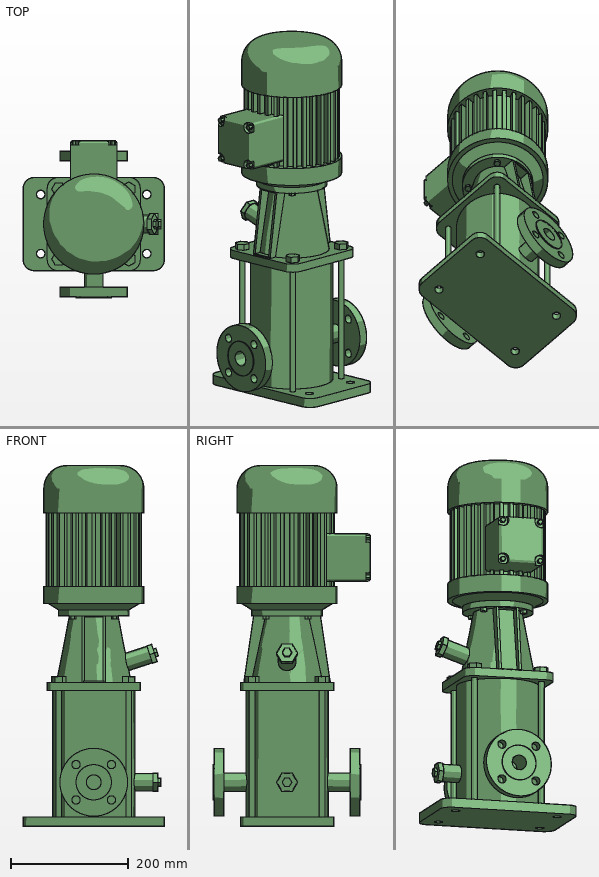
import cadquery as cq
import math

total_height = 612.0

base_length = 240.0
plate_width = 158.5
base_thickness = 16.0
plate_corner_radius = 19.0
anchor_spacing_x = 180.0
anchor_spacing_y = 100.5
anchor_hole_diameter = 14.0
casing_diameter = 140.0

upper_plate_bottom = 230.0
upper_plate_top = 244.0
upper_plate_length = 158.0
tie_rod_diameter = 10.0
tie_rod_offset = 59.5
tie_bolt_width = 21.0
tie_bolt_height = 10.0

port_height = 74.5
pipe_diameter = 32.0
bore_diameter = 25.0
flange_diameter = 115.0
flange_thickness = 16.5
raised_face_diameter = 60.0
raised_face_height = 2.0
flange_face_y = 123.5
flange_hole_diameter = 14.0
flange_hole_offset = 30.0

lantern_bottom_radius = 63.5
lantern_top_radius = 41.5
rib_thickness = 4.0
rib_offset = 18.0
rib_bottom_reach = 73.5
rib_top_reach = 57.0
rib_web_thickness = 2.0
motor_screw_offset = 35.5
motor_screw_width = 10.0
motor_screw_height = 5.5

motor_bottom = 357.0
spigot_top = 367.0
spigot_radius = 60.0
bell_radius = 85.0
bell_cone_radius = 77.0
bell_bottom = 377.5
bell_top = 407.0
cowl_bottom = 532.0
dome_radius = 39.0
motor_core_diameter = 140.0
fin_tip_radius = 81.0
fin_thickness = 6.0
fin_count = 30

box_width = 79.5
box_bottom = 415.5
box_top = 496.5
box_end_y = 141.5
box_edge_radius = 5.5
box_screw_inset = 7.0
box_screw_width = 7.5
box_pocket_radius = 10.0
box_pocket_depth = 7.5

plug_tube_diameter = 30.0
plug_hex_width = 31.0
plug_hex_length = 8.5
plug_tip_width = 14.0
plug_tip_length = 5.0
drain_tube_end = 100.5
vent_tilt = 18.0
vent_tube_end_x = 95.0
vent_tube_end_z = 291.5


def hex_corner_diameter(width_across_flats):
    return width_across_flats / math.cos(math.pi / 6)


def cylinder(diameter, bottom, top):
    return cq.Workplane("XY").workplane(offset=bottom).circle(diameter / 2).extrude(top - bottom)


def rounded_plate(length, bottom, top):
    plate = cq.Workplane("XY").workplane(offset=bottom).rect(length, plate_width).extrude(top - bottom)
    return plate.edges("|Z").fillet(plate_corner_radius)


def base():
    plate = rounded_plate(base_length, 0, base_thickness)
    holes = (
        cq.Workplane("XY")
        .rect(anchor_spacing_x, anchor_spacing_y, forConstruction=True)
        .vertices()
        .circle(anchor_hole_diameter / 2)
        .extrude(base_thickness)
    )
    return plate.cut(holes)


def upper_plate_with_tie_rods():
    plate = rounded_plate(upper_plate_length, upper_plate_bottom, upper_plate_top)
    for side_x in (-1, 1):
        for side_y in (-1, 1):
            rod = cylinder(tie_rod_diameter, base_thickness, upper_plate_bottom)
            head = (
                cq.Workplane("XY")
                .workplane(offset=upper_plate_top)
                .polygon(6, hex_corner_diameter(tie_bolt_width))
                .extrude(tie_bolt_height)
            )
            if side_x > 0:
                head = head.rotate((0, 0, 0), (0, 0, 1), 90)
            place = (side_x * tie_rod_offset, side_y * tie_rod_offset, 0)
            plate = plate.union(rod.translate(place)).union(head.translate(place))
    return plate


def front_port():
    def disc(diameter, start_y, end_y):
        plane = cq.Workplane("XZ", origin=(0, -start_y, port_height))
        return plane.circle(diameter / 2).extrude(end_y - start_y)

    flange_back_y = flange_face_y - flange_thickness
    port = disc(pipe_diameter, 0, flange_back_y)
    port = port.union(disc(flange_diameter, flange_back_y, flange_face_y))
    port = port.union(disc(raised_face_diameter, flange_face_y, flange_face_y + raised_face_height))
    holes = (
        cq.Workplane("XZ", origin=(0, -flange_back_y, port_height))
        .rect(2 * flange_hole_offset, 2 * flange_hole_offset, forConstruction=True)
        .vertices()
        .circle(flange_hole_diameter / 2)
        .extrude(flange_thickness)
    )
    bore = disc(bore_diameter, casing_diameter / 2, flange_face_y + raised_face_height)
    return port.cut(holes).cut(bore)


def lantern():
    cone = (
        cq.Workplane("XZ")
        .polyline([
            (0, upper_plate_top),
            (lantern_bottom_radius, upper_plate_top),
            (lantern_top_radius, motor_bottom),
            (0, motor_bottom),
        ])
        .close()
        .revolve(360, (0, 0, 0), (0, 1, 0))
    )
    rib = (
        cq.Workplane("YZ")
        .polyline([
            (-rib_bottom_reach, upper_plate_top),
            (rib_bottom_reach, upper_plate_top),
            (rib_top_reach, motor_bottom),
            (-rib_top_reach, motor_bottom),
        ])
        .close()
        .extrude(rib_thickness / 2, both=True)
    )
    for side in (-1, 1):
        cone = cone.union(rib.translate((side * rib_offset, 0, 0)))
    web_levels = [
        (rib_bottom_reach, upper_plate_top),
        (rib_top_reach, motor_bottom - rib_web_thickness),
    ]
    for reach, bottom in web_levels:
        web = (
            cq.Workplane("XY")
            .workplane(offset=bottom)
            .rect(2 * rib_offset, 2 * reach)
            .extrude(rib_web_thickness)
        )
        cone = cone.union(web)
    screws = (
        cq.Workplane("XY")
        .workplane(offset=motor_bottom - motor_screw_height)
        .rect(2 * motor_screw_offset, 2 * motor_screw_offset, forConstruction=True)
        .vertices()
        .polygon(6, hex_corner_diameter(motor_screw_width))
        .extrude(motor_screw_height)
    )
    return cone.union(screws)


def motor():
    bell = (
        cq.Workplane("XZ")
        .polyline([
            (0, motor_bottom),
            (spigot_radius, motor_bottom),
            (spigot_radius, spigot_top),
            (bell_cone_radius, bell_bottom),
            (bell_radius, bell_bottom),
            (bell_radius, bell_top),
            (0, bell_top),
        ])
        .close()
        .revolve(360, (0, 0, 0), (0, 1, 0))
    )
    core = cylinder(motor_core_diameter, bell_top, cowl_bottom)
    fins = (
        cq.Workplane("XY")
        .workplane(offset=bell_top)
        .polarArray(fin_tip_radius / 2, 90, 360, fin_count)
        .rect(fin_tip_radius, fin_thickness)
        .extrude(cowl_bottom - bell_top)
    )
    cowl = cylinder(2 * bell_radius, cowl_bottom, total_height).faces(">Z").edges().fillet(dome_radius)
    return bell.union(core).union(fins).union(cowl)


def terminal_box():
    height = box_top - box_bottom
    centre_z = (box_top + box_bottom) / 2
    box = (
        cq.Workplane("XZ", origin=(0, 0, centre_z))
        .rect(box_width, height)
        .extrude(-box_end_y)
        .edges("|Y")
        .fillet(box_edge_radius)
    )
    box = box.faces(">Y").edges().fillet(box_edge_radius)
    corners = (
        cq.Workplane("XZ", origin=(0, box_end_y - box_pocket_depth, centre_z))
        .rect(box_width - 2 * box_screw_inset, height - 2 * box_screw_inset, forConstruction=True)
        .vertices()
    )
    pockets = corners.circle(box_pocket_radius).extrude(-box_pocket_depth)
    screws = corners.polygon(6, hex_corner_diameter(box_screw_width)).extrude(-box_pocket_depth)
    return box.cut(pockets).union(screws)


def plug(tube_length):
    hex_start = tube_length
    tip_start = hex_start + plug_hex_length
    tube = cq.Workplane("YZ").circle(plug_tube_diameter / 2).extrude(tube_length)
    head = (
        cq.Workplane("YZ", origin=(hex_start, 0, 0))
        .polygon(6, hex_corner_diameter(plug_hex_width))
        .extrude(plug_hex_length)
    )
    tip = (
        cq.Workplane("YZ", origin=(tip_start, 0, 0))
        .polygon(6, hex_corner_diameter(plug_tip_width))
        .extrude(plug_tip_length)
    )
    return tube.union(head).union(tip)


def drain_plug():
    return plug(drain_tube_end).translate((0, 0, port_height))


def vent_plug():
    tilt = math.radians(vent_tilt)
    tube_length = lantern_bottom_radius
    start_x = vent_tube_end_x - tube_length * math.cos(tilt)
    start_z = vent_tube_end_z - tube_length * math.sin(tilt)
    tilted = plug(tube_length).rotate((0, 0, 0), (0, 1, 0), -vent_tilt)
    return tilted.translate((start_x, 0, start_z))


port = front_port()
result = (
    base()
    .union(cylinder(casing_diameter, base_thickness, upper_plate_bottom))
    .union(upper_plate_with_tie_rods())
    .union(port)
    .union(port.mirror("XZ"))
    .union(lantern())
    .union(motor())
    .union(terminal_box())
    .union(drain_plug())
    .union(vent_plug())
)